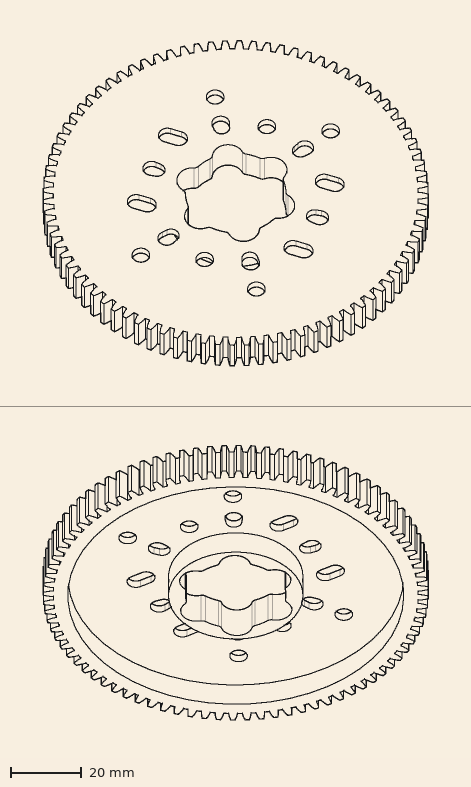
import cadquery as cq
import math

INCH = 25.4
TOOTH_COUNT = 84
DIAMETRAL_PITCH = 20
MODULE = INCH / DIAMETRAL_PITCH
PRESSURE_ANGLE = math.radians(14.5)
FACE_WIDTH = 0.375 * INCH
DEDENDUM_FACTOR = 1.25
FLANK_POINT_COUNT = 6

PITCH_RADIUS = MODULE * TOOTH_COUNT / 2
BASE_RADIUS = PITCH_RADIUS * math.cos(PRESSURE_ANGLE)
TIP_RADIUS = PITCH_RADIUS + MODULE
ROOT_RADIUS = PITCH_RADIUS - DEDENDUM_FACTOR * MODULE
TOOTH_PITCH_ANGLE = 2 * math.pi / TOOTH_COUNT

WEB_THICKNESS = 0.09375 * INCH
HUB_RADIUS = 0.75 * INCH
RECESS_OUTER_RADIUS = 1.875 * INCH

LOBE_COUNT = 6
LOBE_CENTER_RADIUS = 13.0
LOBE_RADIUS = 4.5
BORE_RADIUS = 14.25
BORE_CORNER_RADIUS = 1.5

BOLT_DIAMETER = 0.196 * INCH
SMALL_BOLT_DIAMETER = 0.177 * INCH
INNER_CIRCLE_RADIUS = 1.875 / 2 * INCH
MIDDLE_CIRCLE_RADIUS = 1.0 * INCH
OUTER_CIRCLE_RADIUS = 1.375 * INCH


def polar(radius, angle):
    return (radius * math.cos(angle), radius * math.sin(angle))


def polar_degrees(radius, degrees):
    return polar(radius, math.radians(degrees))


def involute(angle):
    return math.tan(angle) - angle


def half_tooth_angle(radius):
    """Angle from the tooth centreline to its involute flank at a radius."""
    flank_angle = math.acos(min(1.0, BASE_RADIUS / radius))
    return TOOTH_PITCH_ANGLE / 4 + involute(PRESSURE_ANGLE) - involute(flank_angle)


def gear_blank():
    """Disc with the full involute tooth outline; a tooth gap is centred on +X."""
    step = (TIP_RADIUS - ROOT_RADIUS) / (FLANK_POINT_COUNT - 1)
    radii = [ROOT_RADIUS + step * i for i in range(FLANK_POINT_COUNT)]
    half_angles = [half_tooth_angle(r) for r in radii]
    first_tooth = TOOTH_PITCH_ANGLE / 2
    outline = cq.Workplane("XY").moveTo(*polar(ROOT_RADIUS, first_tooth - half_angles[0]))
    for tooth in range(TOOTH_COUNT):
        center = first_tooth + TOOTH_PITCH_ANGLE * tooth
        rising_flank = [polar(r, center - a) for r, a in zip(radii, half_angles)]
        falling_flank = [polar(r, center + a) for r, a in zip(radii, half_angles)]
        next_root = polar(ROOT_RADIUS, center + TOOTH_PITCH_ANGLE - half_angles[0])
        outline = (
            outline.spline(rising_flank[1:], includeCurrent=True)
            .threePointArc(polar(TIP_RADIUS, center), falling_flank[-1])
            .spline(falling_flank[-2::-1], includeCurrent=True)
            .threePointArc(polar(ROOT_RADIUS, center + TOOTH_PITCH_ANGLE / 2), next_root)
        )
    return outline.close().extrude(FACE_WIDTH)


def underside_recess():
    """Ring recess below the web, between the hub and the toothed rim."""
    return (
        cq.Workplane("XY")
        .circle(RECESS_OUTER_RADIUS)
        .circle(HUB_RADIUS)
        .extrude(FACE_WIDTH - WEB_THICKNESS)
    )


def spline_bore():
    bore = cq.Workplane("XY").circle(BORE_RADIUS).extrude(FACE_WIDTH)
    lobes = (
        cq.Workplane("XY")
        .polarArray(LOBE_CENTER_RADIUS, 0, 360, LOBE_COUNT)
        .circle(LOBE_RADIUS)
        .extrude(FACE_WIDTH)
    )
    return bore.union(lobes).edges("|Z").fillet(BORE_CORNER_RADIUS)


def holes(centers, diameter):
    return cq.Workplane("XY").pushPoints(centers).circle(diameter / 2).extrude(FACE_WIDTH)


def tapered_slot():
    """Slot on the X axis joining a bolt hole to a smaller hole nearer the centre."""
    large_radius = BOLT_DIAMETER / 2
    small_radius = SMALL_BOLT_DIAMETER / 2
    spacing = MIDDLE_CIRCLE_RADIUS - INNER_CIRCLE_RADIUS
    tangent_angle = math.pi - math.acos((large_radius - small_radius) / spacing)
    large_x, large_y = polar(large_radius, tangent_angle)
    small_x, small_y = polar(small_radius, tangent_angle)
    return (
        cq.Workplane("XY")
        .moveTo(INNER_CIRCLE_RADIUS + small_x, -small_y)
        .lineTo(MIDDLE_CIRCLE_RADIUS + large_x, -large_y)
        .threePointArc((MIDDLE_CIRCLE_RADIUS + large_radius, 0), (MIDDLE_CIRCLE_RADIUS + large_x, large_y))
        .lineTo(INNER_CIRCLE_RADIUS + small_x, small_y)
        .threePointArc((INNER_CIRCLE_RADIUS - small_radius, 0), (INNER_CIRCLE_RADIUS + small_x, -small_y))
        .close()
        .extrude(FACE_WIDTH)
    )


def side_slots():
    """Slots along X, from the 30 degree bolt position out to the square bolt grid."""
    start_x, center_y = polar_degrees(MIDDLE_CIRCLE_RADIUS, 30)
    end_x = MIDDLE_CIRCLE_RADIUS
    middle_x = (start_x + end_x) / 2
    centers = [(sx * middle_x, sy * center_y) for sx in (-1, 1) for sy in (-1, 1)]
    slot_length = end_x - start_x + BOLT_DIAMETER
    return cq.Workplane("XY").pushPoints(centers).slot2D(slot_length, BOLT_DIAMETER).extrude(FACE_WIDTH)


top_bottom_centers = [polar_degrees(MIDDLE_CIRCLE_RADIUS, angle) for angle in (90, 270)]
outer_centers = [polar_degrees(OUTER_CIRCLE_RADIUS, angle) for angle in (60, 120, 240, 300)]

result = (
    gear_blank()
    .cut(underside_recess())
    .cut(spline_bore())
    .cut(holes(top_bottom_centers + outer_centers, BOLT_DIAMETER))
    .cut(side_slots())
)
for angle in range(0, 360, 60):
    result = result.cut(tapered_slot().rotate((0, 0, 0), (0, 0, 1), angle))